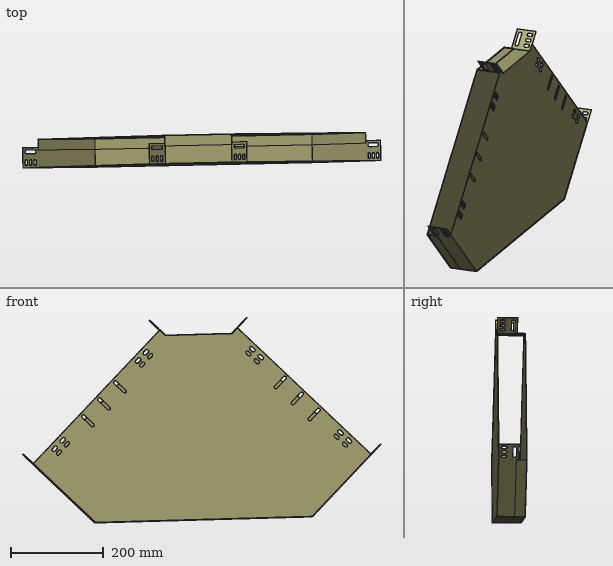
import cadquery as cq
import math


sheet = 1.15
wall_height = 39.0
total_height = 62.0

outer_half_width = 234.5
outer_arm = 185.0
open_width = 398.5
inner_arm = 17.0
cover_setback = 16.0

tab_reach = 30.0
tab_height = 44.0
tab_slot_length = 32.5
tab_slot_width = 8.0
tab_slot_height = 35.0
tab_hole_length = 12.0
tab_hole_width = 7.0
tab_hole_height = 11.5
tab_hole_pitch = 13.0

slot_width = 7.0
long_slot_length = 35.0
long_slot_depth = 22.5
long_slot_pitch = 50.0
short_slot_length = 13.0
short_slot_depths = (11.5, 24.0)
short_slot_pitch = 25.0
cluster_offset = 131.0

tilt_x = -0.6
tilt_y = -1.6
tilt_z = 1.2

diagonal = math.sqrt(0.5)
bend_shift = math.tan(math.radians(22.5))
open_edge = outer_half_width * diagonal + outer_arm
cover_edge = open_edge - cover_setback
tab_end = open_edge + tab_reach
outer_wall_offset = outer_half_width * diagonal
inner_wall_offset = outer_wall_offset - open_width
inner_bend = (
    (open_edge - inner_arm + inner_wall_offset) * diagonal,
    (open_edge - inner_arm - inner_wall_offset) * diagonal,
)


def arm_point(along, across):
    """Point on the right arm: `along` toward the open edge, `across` toward the outer wall."""
    return ((along + across) * diagonal, (along - across) * diagonal)


def prism(edge, inset, start, end):
    """Bend outline cut off at the open-edge distance `edge`, walls moved in by `inset`."""
    right = [
        (outer_half_width - inset * bend_shift, inset),
        arm_point(edge, outer_wall_offset - inset),
        arm_point(edge, inner_wall_offset + inset),
        (inner_bend[0] + inset * bend_shift, inner_bend[1] - inset),
    ]
    left = [(-x, z) for x, z in reversed(right)]
    outline = cq.Workplane("XZ", origin=(0, start, 0)).polyline(right + left).close()
    return outline.extrude(start - end)


def walls(edge, start, end):
    """Inner and outer walls that stop at the open-edge distance `edge`."""
    return prism(edge, 0, start, end).cut(prism(edge, sheet, start, end))


def both_arms(cutter):
    """The right arm's cutter together with its mirror image on the left arm."""
    return cutter.union(cutter.mirror("YZ"))


def floor_slots():
    """Three long slots and two clusters of four short slots along each open edge."""
    middle = (outer_wall_offset + inner_wall_offset) / 2
    long_places = [
        arm_point(open_edge - long_slot_depth, middle + step * long_slot_pitch) for step in (-1, 0, 1)
    ]
    short_places = [
        arm_point(open_edge - depth, middle + end * cluster_offset + side * short_slot_pitch / 2)
        for depth in short_slot_depths
        for end in (-1, 1)
        for side in (-1, 1)
    ]
    long_slots = cq.Workplane("XZ").pushPoints(long_places).slot2D(long_slot_length, slot_width, 45)
    short_slots = cq.Workplane("XZ").pushPoints(short_places).slot2D(short_slot_length, slot_width, -45)
    return both_arms(long_slots.extrude(-sheet).union(short_slots.extrude(-sheet)))


def tab_holes():
    """One long slot and a row of three short holes, through both tabs of each arm."""
    arm_plane = cq.Plane(origin=(0, 0, 0), xDir=(1, 0, 1), normal=(-1, 0, 1))
    tab_middle = (cover_edge + tab_end) / 2
    hole_places = [(tab_middle + step * tab_hole_pitch, tab_hole_height) for step in (-1, 0, 1)]
    slot = cq.Workplane(arm_plane).center(tab_middle, tab_slot_height).slot2D(tab_slot_length, tab_slot_width)
    holes = cq.Workplane(arm_plane).pushPoints(hole_places).slot2D(tab_hole_length, tab_hole_width, 90)
    through = 2 * open_width
    return both_arms(slot.extrude(through, both=True).union(holes.extrude(through, both=True)))


def make_tray():
    """Slotted floor with low walls that end in taller, punched tabs."""
    floor = prism(open_edge, 0, 0, sheet)
    tabs = walls(tab_end, 0, tab_height).cut(prism(cover_edge, 0, 0, tab_height)).cut(tab_holes())
    return floor.cut(floor_slots()).union(walls(cover_edge, 0, wall_height)).union(tabs)


def make_cover():
    """Flat cover whose lips stand on top of the tray walls."""
    top = prism(cover_edge, 0, total_height - sheet, total_height)
    return top.union(walls(cover_edge, wall_height, total_height))


def tilt(body):
    """Body turned about X, then Y, then Z into its final attitude."""
    origin = (0, 0, 0)
    body = body.rotate(origin, (1, 0, 0), tilt_x)
    body = body.rotate(origin, (0, 1, 0), tilt_y)
    return body.rotate(origin, (0, 0, 1), tilt_z)


tray = tilt(make_tray())
cover = tilt(make_cover())

result = cq.Compound.makeCompound([tray.solids().val(), cover.solids().val()])